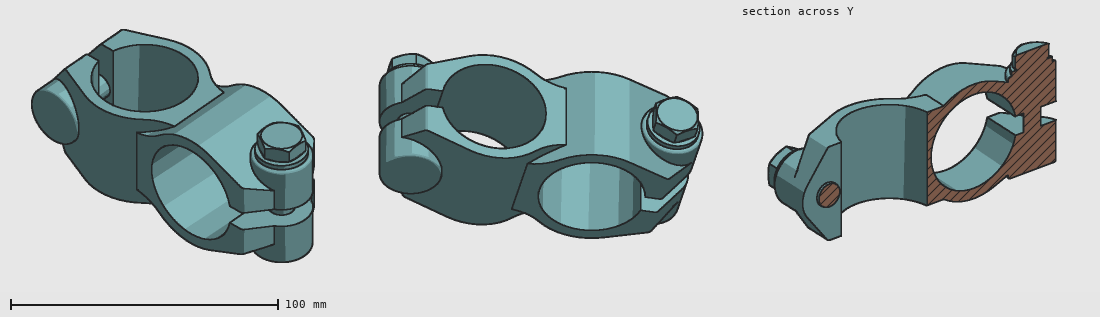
import cadquery as cq
import math


bore_diameter = 40.0
ring_diameter = 49.3
clamp_width = 40.2
bore_offset = 21.0
slot_width = 8.0

web_height = 27.1
web_blend_radius = 21.4

lug_taper = 22.6
lug_corner_angle = 53.4
lug_corner_radius = 1.8

boss_diameter = 23.5
boss_height = 43.8
boss_edge_radius = 1.1
short_reach = 47.1
long_reach = 48.4

shank_diameter = 10.0
washer_diameter = 20.0
washer_thickness = 1.9
head_across_flats = 16.1
head_height = 6.4
head_face_diameter = 15.5
head_bevel_angle = 30.0
head_turn = 30

bore_radius = bore_diameter / 2
ring_radius = ring_diameter / 2
boss_radius = boss_diameter / 2
taper = math.radians(lug_taper)
corner_angle = math.radians(lug_corner_angle)
half_width = clamp_width / 2

lug_tip_x = short_reach + boss_radius * math.sin(corner_angle)
lug_tip_half_width = boss_radius * math.cos(corner_angle)
lug_corner_x = lug_tip_x - (half_width - lug_tip_half_width) / math.tan(corner_angle)


def ring_point(angle):
    """Point of the ring's outer circle in XZ, angle measured from +X."""
    return (bore_offset + ring_radius * math.cos(angle), ring_radius * math.sin(angle))


def mirrored(point):
    return (point[0], -point[1])


def clamp_body():
    """Ring, web and lug flanks extruded along Y, then cut to the lug plan."""
    flank_start = ring_point(math.pi / 2 - taper)
    flank_drop = (lug_tip_x - flank_start[0]) * math.tan(taper)
    flank_end = (lug_tip_x, flank_start[1] - flank_drop)

    blend_z = web_height / 2 + web_blend_radius
    blend_angle = math.pi - math.asin(blend_z / (ring_radius + web_blend_radius))
    blend_x = bore_offset + (ring_radius + web_blend_radius) * math.cos(blend_angle)
    blend_start = ring_point(blend_angle)
    blend_end = (blend_x, web_height / 2)
    mid_angle = (blend_angle + math.pi / 2) / 2
    blend_mid = (
        blend_x - web_blend_radius * math.cos(mid_angle),
        blend_z - web_blend_radius * math.sin(mid_angle),
    )
    ring_top = ring_point(math.pi / 2)

    profile = (
        cq.Workplane("XZ")
        .moveTo(*flank_end)
        .lineTo(*flank_start)
        .threePointArc(ring_top, blend_start)
        .threePointArc(blend_mid, blend_end)
        .lineTo(*mirrored(blend_end))
        .threePointArc(mirrored(blend_mid), mirrored(blend_start))
        .threePointArc(mirrored(ring_top), mirrored(flank_start))
        .lineTo(*mirrored(flank_end))
        .close()
        .extrude(half_width, both=True)
    )

    lug_plan = (
        cq.Workplane("XY")
        .moveTo(-bore_offset, half_width)
        .lineTo(lug_corner_x, half_width)
        .lineTo(lug_tip_x, lug_tip_half_width)
        .lineTo(lug_tip_x, -lug_tip_half_width)
        .lineTo(lug_corner_x, -half_width)
        .lineTo(-bore_offset, -half_width)
        .close()
        .extrude(ring_radius, both=True)
    )
    lug_plan = lug_plan.edges("|Z and (>Y or <Y)").edges(">X").fillet(lug_corner_radius)
    return profile.intersect(lug_plan)


def boss(reach):
    """Round boss along Z with both rims rounded."""
    return (
        cq.Workplane("XY")
        .center(reach, 0)
        .circle(boss_radius)
        .extrude(boss_height / 2, both=True)
        .edges("%CIRCLE")
        .fillet(boss_edge_radius)
    )


def bore():
    """Tube bore along Y."""
    return (
        cq.Workplane("XZ")
        .center(bore_offset, 0)
        .circle(bore_radius)
        .extrude(ring_diameter, both=True)
    )


def slot(reach):
    """Gap that splits the lugs and the boss, from the bore outward."""
    length = reach + boss_diameter - bore_offset
    return (
        cq.Workplane("XY")
        .box(length, ring_diameter, slot_width, centered=(False, True, True))
        .translate((bore_offset, 0, 0))
    )


def bolt_head():
    """Hexagon with both ends bevelled, standing on Z = 0."""
    corner_diameter = head_across_flats / math.cos(math.pi / 6)
    hexagon = (
        cq.Workplane("XY")
        .polygon(6, corner_diameter)
        .extrude(head_height)
        .rotate((0, 0, 0), (0, 0, 1), head_turn)
    )
    face_radius = head_face_diameter / 2
    bevel_run = corner_diameter / 2 - face_radius
    bevel_height = bevel_run * math.tan(math.radians(head_bevel_angle))
    bevel_limit = (
        cq.Workplane("XZ")
        .moveTo(0, 0)
        .lineTo(face_radius, 0)
        .lineTo(corner_diameter / 2, bevel_height)
        .lineTo(corner_diameter / 2, head_height - bevel_height)
        .lineTo(face_radius, head_height)
        .lineTo(0, head_height)
        .close()
        .revolve(360, (0, 0, 0), (0, 1, 0))
    )
    return hexagon.intersect(bevel_limit)


def bolt(reach):
    """Shank across the slot, washer on the boss and hexagon head on the washer."""
    washer_base = boss_height / 2
    shank = cq.Workplane("XY").circle(shank_diameter / 2).extrude(slot_width, both=True)
    washer = (
        cq.Workplane("XY")
        .workplane(offset=washer_base)
        .circle(washer_diameter / 2)
        .extrude(washer_thickness)
    )
    head = bolt_head().translate((0, 0, washer_base + washer_thickness))
    return shank.union(washer).union(head).translate((reach, 0, 0))


def crossed(shape):
    """Half turn about the YZ diagonal: reverses X and swaps Y with Z."""
    return shape.rotate((0, 0, 0), (0, 1, 1), 180)


def clamp(reach):
    """Clamp with its bore along Y and its bolt along Z; the bore is still closed."""
    return clamp_body().union(boss(reach)).cut(slot(reach)).union(bolt(reach))


joined = clamp(long_reach).union(crossed(clamp(short_reach)))
result = joined.cut(bore()).cut(crossed(bore()))